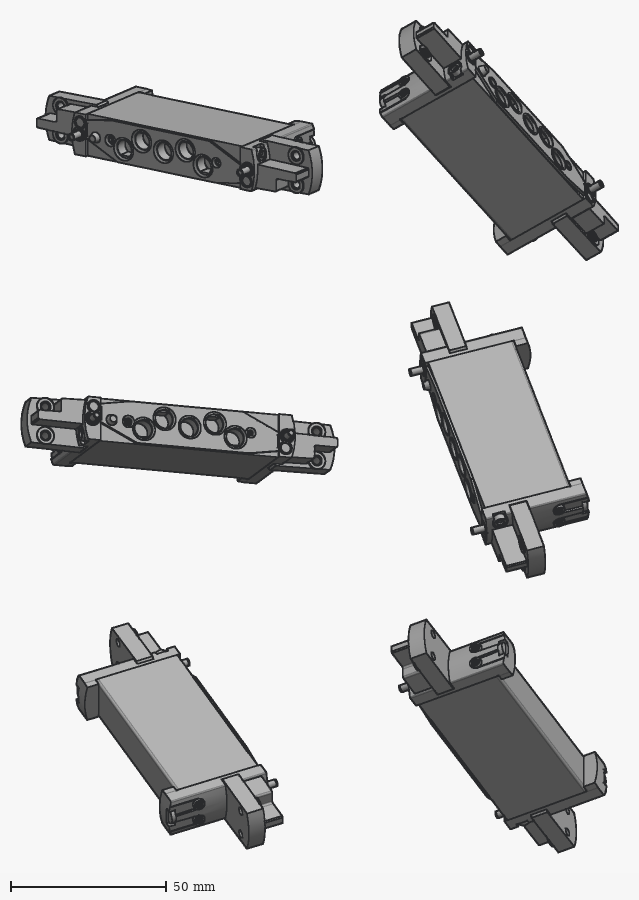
import cadquery as cq


HALF_LENGTH = 30.5
HALF_HEIGHT = 14.2 / 2
HOUSING_FRONT = 1.0
HOUSING_BACK = 30.1
BACK_ROUND = 0.8

GASKET_FRONT = 0.2
GASKET_HALF_HEIGHT = 6.8
GASKET_END_TALL = 5.1
GASKET_END_SHORT = 0.9
GASKET_TALL_X = 20.3
GASKET_SHORT_X = 18.1
NOTCH_WIDTH = 0.4
NOTCH_LOW, NOTCH_HIGH = -0.2, 4.1
BEAD_RISE = 0.3

PORT_BORE, PORT_BEAD = 6.0, 7.7
PORT_SEAL = 6.3
PORT_FLAT = 4.4
PORT_DEPTH = 4.2
PORT_OFFSET = 2.0
MAIN_PORTS = [
    (-15.7, -PORT_OFFSET),
    (-8.6, PORT_OFFSET),
    (0, 0),
    (8.6, PORT_OFFSET),
    (15.7, -PORT_OFFSET),
]
PILOT_PORTS = [(-20.9, 2.6, 4.0), (20.8, 2.0, 3.4)]
PILOT_STEP = 0.3
PILOT_STEPS, PILOT_STEP_DEPTH = 2, 1.0

PEG_X = -26.7
PEG_BASE, PEG_TIP, PEG_END = 3.6, 2.3, -1.7

CAP_OUTER = 35.9
CAP_OUTER_EDGE = 34.8
CAP_BACK = 35.0
CAP_BACK_EDGE = 34.0
CAP_EDGE_ROUND = 0.4
HOOK_REACH = 2.2
HOOK_DROP = 0.2

DOWEL_X = -33.2
DOWEL, DOWEL_END = 2.4, -4.2
DOWEL_SEAT, DOWEL_COLLAR, COLLAR_FRONT = 4.6, 3.4, 0.1
DOWEL_BORE, DOWEL_BORE_DEPTH = 1.8, 0.3
PLUG_X, PLUG_Z, PLUG = -32.8, 4.0, 3.4
PLUG_SEAT = 4.2
SEAT_DEPTH = 0.4

SCREW_Y, SCREW_Z = 24.5, 3.3
SCREW_HEAD, SCREW_SINK, SCREW_SOCKET = 3.8, 2.3, 1.4
SCREW_SINK_DEPTH = 0.3
SCREW_TOP = 36.3
GROOVE_SPREAD = 0.3
GROOVE_FLOOR = 35.1
BIG_SCREW_Y, BIG_SCREW_Z = 4.7, -4.4
BIG_SCREW_SEAT, BIG_SCREW_HEAD, BIG_SCREW_SOCKET = 5.1, 4.0, 2.4
BIG_SEAT_FLOOR, BIG_SCREW_TOP = 33.6, 35.7
SOCKET_DEPTH = 0.8
LATCH_HALF_HEIGHT, LATCH_LENGTH = 3.0, 2.4
LATCH_FLOOR = 33.2
LATCH_ROUND, LATCH_ROUND_BACK = 5.6, 34.2

FLANGE_FRONT, FLANGE_BACK = 8.8, 14.6
FLANGE_INNER, FLANGE_CORNER, FLANGE_OUTER = 31.7, 51.1, 52.5
FLANGE_HALF_HEIGHT, FLANGE_CORNER_HEIGHT = 7.8, 7.5
FLANGE_CHAMFER = 0.7
FIXING_X, FIXING_Z = -46.3, 4.8
FIXING_HOLE, FIXING_SINK, SINK_DEPTH = 2.6, 3.4, 0.5
FIXING_BOSS, BOSS_RISE = 5.8, 0.5

BLOCK_FRONT = 1.9
BLOCK_STEP_X, BLOCK_END_X = 43.3, 51.2
BLOCK_TOP, BLOCK_TOP_STEP = 6.5, 6.2
TONGUE_TOP, TONGUE_BOTTOM, TONGUE_BOTTOM_INNER = 1.7, -1.5, -1.8
TONGUE_CHAMFER, STEP_ROUND = 0.4, 0.6


def along_y(front, x=0.0, z=0.0):
    """Workplane in XZ at Y = front; extruding goes toward the back."""
    plane = cq.Plane(origin=(x, front, z), xDir=(-1, 0, 0), normal=(0, 1, 0))
    return cq.Workplane(plane)


def face_plane(front):
    """XZ workplane at Y = front with sketch axes +X and +Z; extruding goes toward -Y."""
    return cq.Workplane("XZ", origin=(0, front, 0))


def slab(outline, front, back):
    """Close an outline drawn on a face_plane at Y = back and extrude it forward to Y = front."""
    return outline.close().extrude(back - front)


def rod_y(x, z, diameter, front, back):
    return along_y(front, x, z).circle(diameter / 2).extrude(back - front)


def rod_x(y, z, diameter, left, right):
    return cq.Workplane("YZ", origin=(left, y, z)).circle(diameter / 2).extrude(right - left)


def box(x_range, y_range, z_range):
    size = [high - low for low, high in (x_range, y_range, z_range)]
    corner = (x_range[0], y_range[0], z_range[0])
    return cq.Workplane(origin=corner).box(*size, centered=False)


def port_hole(x, z, front, back):
    """Port bore, cut off flat toward the top and bottom of the valve."""
    bore = rod_y(x, z, PORT_BORE, front, back)
    limit = box((x - PORT_BORE, x + PORT_BORE), (front, back), (-PORT_FLAT, PORT_FLAT))
    return bore.intersect(limit)


def sealing_bead(x, z, inner, outer):
    """Ring of arched section standing on the gasket face."""
    middle = (inner + outer) / 4
    section = (
        cq.Workplane("XY", origin=(x, GASKET_FRONT, z))
        .moveTo(inner / 2, 0)
        .threePointArc((middle, -BEAD_RISE), (outer / 2, 0))
        .close()
    )
    return section.revolve(360, (0, 0, 0), (0, 1, 0))


def make_housing():
    length, height = (-HALF_LENGTH, HALF_LENGTH), (-HALF_HEIGHT, HALF_HEIGHT)
    housing = box(length, (HOUSING_FRONT, HOUSING_BACK), height)
    housing = housing.edges("|X and >Y").fillet(BACK_ROUND)
    for x, z in MAIN_PORTS:
        housing = housing.cut(port_hole(x, z, HOUSING_FRONT, HOUSING_FRONT + PORT_DEPTH))
    for x, opening, _ in PILOT_PORTS:
        for step in range(1, PILOT_STEPS + 1):
            bore = opening - 2 * PILOT_STEP * step
            floor = HOUSING_FRONT + PILOT_STEP_DEPTH * step
            housing = housing.cut(rod_y(x, 0, bore, HOUSING_FRONT, floor))
    return housing


def make_gasket():
    half = [
        (-HALF_LENGTH, -GASKET_END_SHORT),
        (-HALF_LENGTH, GASKET_END_TALL),
        (-GASKET_TALL_X, GASKET_HALF_HEIGHT),
        (GASKET_SHORT_X, GASKET_HALF_HEIGHT),
    ]
    other_half = [(-x, -z) for x, z in half]
    outline = face_plane(HOUSING_FRONT).polyline(half + other_half)
    gasket = slab(outline, GASKET_FRONT, HOUSING_FRONT)

    bead_front = GASKET_FRONT - BEAD_RISE
    thickness = (GASKET_FRONT, HOUSING_FRONT)
    left_notch = box((-HALF_LENGTH, -HALF_LENGTH + NOTCH_WIDTH), thickness, (NOTCH_LOW, NOTCH_HIGH))
    right_notch = box((HALF_LENGTH - NOTCH_WIDTH, HALF_LENGTH), thickness, (-NOTCH_HIGH, -NOTCH_LOW))
    gasket = gasket.cut(left_notch).cut(right_notch)

    for x, z in MAIN_PORTS:
        gasket = gasket.union(sealing_bead(x, z, PORT_SEAL, PORT_BEAD))
    for x, opening, bead in PILOT_PORTS:
        gasket = gasket.union(sealing_bead(x, 0, opening, bead))
    for x, z in MAIN_PORTS:
        gasket = gasket.cut(rod_y(x, z, PORT_SEAL, bead_front, HOUSING_FRONT))
    for x, opening, _ in PILOT_PORTS:
        gasket = gasket.cut(rod_y(x, 0, opening, bead_front, HOUSING_FRONT))
    return gasket.union(make_peg())


def make_peg():
    """Coding peg, tapering from its base to a flat tip."""
    half_section = [
        (0, GASKET_FRONT),
        (PEG_BASE / 2, GASKET_FRONT),
        (PEG_TIP / 2, PEG_END),
        (0, PEG_END),
    ]
    section = cq.Workplane("XY", origin=(PEG_X, 0, 0)).polyline(half_section).close()
    return section.revolve(360, (0, 0, 0), (0, 1, 0))


def cap_shell():
    """Cap block with bowed outer and back faces, and the hook behind the housing."""
    outline = (
        face_plane(CAP_BACK)
        .moveTo(-HALF_LENGTH, -HALF_HEIGHT)
        .lineTo(-CAP_OUTER_EDGE, -HALF_HEIGHT)
        .threePointArc((-CAP_OUTER, 0), (-CAP_OUTER_EDGE, HALF_HEIGHT))
        .lineTo(-HALF_LENGTH, HALF_HEIGHT)
    )
    shell = slab(outline, 0, CAP_BACK)
    shell = shell.edges("|Y").edges("<X").fillet(CAP_EDGE_ROUND)

    tip_x, tip_height = -HALF_LENGTH + HOOK_REACH, HALF_HEIGHT - HOOK_DROP
    hook = face_plane(CAP_BACK).polyline([
        (-HALF_LENGTH, -HALF_HEIGHT),
        (-HALF_LENGTH, HALF_HEIGHT),
        (tip_x, tip_height),
        (tip_x, -tip_height),
    ])
    shell = shell.union(slab(hook, HOUSING_BACK, CAP_BACK))

    bowed_back = (
        cq.Workplane("YZ", origin=(-CAP_OUTER, 0, 0))
        .moveTo(0, -HALF_HEIGHT)
        .lineTo(CAP_BACK_EDGE, -HALF_HEIGHT)
        .threePointArc((CAP_BACK, 0), (CAP_BACK_EDGE, HALF_HEIGHT))
        .lineTo(0, HALF_HEIGHT)
        .close()
        .extrude(CAP_OUTER)
    )
    return shell.intersect(bowed_back)


def add_side_screws(cap):
    """Two screws, each at the end of a groove that runs out through the back of the cap."""
    groove_inner, groove_outer = SCREW_Z - SCREW_HEAD / 2, SCREW_Z + SCREW_HEAD / 2
    for side in (-1, 1):
        z = side * SCREW_Z
        groove = cq.Workplane("YZ", origin=(-CAP_OUTER, 0, 0)).polyline([
            (SCREW_Y, side * groove_inner),
            (CAP_BACK, side * (groove_inner - GROOVE_SPREAD)),
            (CAP_BACK, side * groove_outer),
            (SCREW_Y, side * groove_outer),
        ])
        cap = cap.cut(groove.close().extrude(CAP_OUTER - GROOVE_FLOOR))
        cap = cap.cut(rod_x(SCREW_Y, z, SCREW_HEAD, -CAP_OUTER, -GROOVE_FLOOR))
        cap = cap.union(rod_x(SCREW_Y, z, SCREW_HEAD, -SCREW_TOP, -GROOVE_FLOOR))
        cap = cap.cut(rod_x(SCREW_Y, z, SCREW_SINK, -SCREW_TOP, -SCREW_TOP + SCREW_SINK_DEPTH))
        cap = cap.cut(rod_x(SCREW_Y, z, SCREW_SOCKET, -SCREW_TOP, -SCREW_TOP + SOCKET_DEPTH))
    return cap


def add_big_screw(cap):
    """Screw head with a socket, sunk in a round seat that opens through the edge of the cap."""
    place = (BIG_SCREW_Y, BIG_SCREW_Z)
    cap = cap.cut(rod_x(*place, BIG_SCREW_SEAT, -CAP_OUTER, -BIG_SEAT_FLOOR))
    opening_y = (BIG_SCREW_Y - BIG_SCREW_HEAD / 2, BIG_SCREW_Y + BIG_SCREW_HEAD / 2)
    cap = cap.cut(box((-CAP_OUTER, -BIG_SEAT_FLOOR), opening_y, (-HALF_HEIGHT, BIG_SCREW_Z)))
    cap = cap.union(rod_x(*place, BIG_SCREW_HEAD, -BIG_SCREW_TOP, -BIG_SEAT_FLOOR))
    socket_floor = -BIG_SCREW_TOP + SOCKET_DEPTH
    return cap.cut(rod_x(*place, BIG_SCREW_SOCKET, -BIG_SCREW_TOP, socket_floor))


def add_latch(cap):
    """Notch in the outer back edge with a round boss standing in it."""
    latch_front = CAP_BACK - LATCH_LENGTH
    height = (-LATCH_HALF_HEIGHT, LATCH_HALF_HEIGHT)
    cap = cap.cut(box((-CAP_OUTER, -LATCH_FLOOR), (latch_front, CAP_BACK), height))
    boss_x = -CAP_OUTER + LATCH_ROUND / 2
    return cap.union(rod_y(boss_x, 0, LATCH_ROUND, latch_front, LATCH_ROUND_BACK))


def add_dowel_and_plug(cap):
    cap = cap.cut(rod_y(PLUG_X, PLUG_Z, PLUG_SEAT, 0, SEAT_DEPTH))
    cap = cap.cut(rod_y(DOWEL_X, 0, DOWEL_SEAT, 0, SEAT_DEPTH))
    cap = cap.union(rod_y(PLUG_X, PLUG_Z, PLUG, 0, SEAT_DEPTH))
    cap = cap.union(rod_y(DOWEL_X, 0, DOWEL_COLLAR, COLLAR_FRONT, SEAT_DEPTH))
    cap = cap.union(rod_y(DOWEL_X, 0, DOWEL, DOWEL_END, SEAT_DEPTH))
    return cap.cut(rod_y(DOWEL_X, 0, DOWEL_BORE, DOWEL_END, DOWEL_END + DOWEL_BORE_DEPTH))


def make_flange():
    """Fixing flange with a bowed outer end, two bosses and two counterbored holes."""
    outline = (
        face_plane(FLANGE_BACK)
        .moveTo(-FLANGE_INNER, -FLANGE_HALF_HEIGHT)
        .lineTo(-FLANGE_CORNER, -FLANGE_CORNER_HEIGHT)
        .threePointArc((-FLANGE_OUTER, 0), (-FLANGE_CORNER, FLANGE_CORNER_HEIGHT))
        .lineTo(-FLANGE_INNER, FLANGE_HALF_HEIGHT)
    )
    flange = slab(outline, FLANGE_FRONT, FLANGE_BACK)
    flange = flange.edges("|Y").edges(">X").chamfer(FLANGE_CHAMFER)
    boss_front = FLANGE_FRONT - BOSS_RISE
    for z in (-FIXING_Z, FIXING_Z):
        flange = flange.union(rod_y(FIXING_X, z, FIXING_BOSS, boss_front, FLANGE_FRONT))
        flange = flange.cut(rod_y(FIXING_X, z, FIXING_HOLE, boss_front, FLANGE_BACK))
        flange = flange.cut(rod_y(FIXING_X, z, FIXING_SINK, boss_front, boss_front + SINK_DEPTH))
    return flange


def make_connector_block():
    """Stepped block between the cap and the flange, ending in a tongue."""
    outline = face_plane(FLANGE_FRONT).polyline([
        (-HALF_LENGTH, BLOCK_TOP),
        (-BLOCK_STEP_X, BLOCK_TOP_STEP),
        (-BLOCK_STEP_X, TONGUE_TOP),
        (-BLOCK_END_X, TONGUE_TOP),
        (-BLOCK_END_X, TONGUE_BOTTOM),
        (-HALF_LENGTH, TONGUE_BOTTOM_INNER),
    ])
    block = slab(outline, BLOCK_FRONT, FLANGE_FRONT)
    block = block.edges("|Y").edges("<X").chamfer(TONGUE_CHAMFER)
    middle_y = (BLOCK_FRONT + FLANGE_FRONT) / 2
    for corner_z in (TONGUE_TOP, BLOCK_TOP_STEP):
        corner = cq.selectors.NearestToPointSelector((-BLOCK_STEP_X, middle_y, corner_z))
        block = block.edges("|Y").edges(corner).fillet(STEP_ROUND)
    return block


def make_cap():
    cap = cap_shell()
    cap = add_side_screws(cap)
    cap = add_big_screw(cap)
    cap = add_latch(cap)
    cap = add_dowel_and_plug(cap)
    return cap.union(make_flange()).union(make_connector_block())


housing = make_housing()
gasket = make_gasket()

caps = [make_cap().rotate((0, 0, 0), (0, 1, 0), angle) for angle in (0, 180)]

result = cq.Compound.makeCompound([housing.val(), gasket.val(), *[cap.val() for cap in caps]])